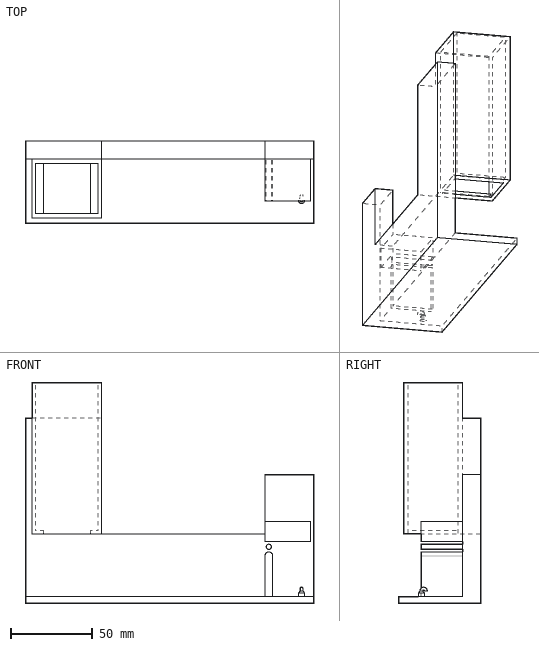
import cadquery as cq

LENGTH = 177.8
DEPTH = 50.9
HEIGHT = 136.0

PLATE_THICKNESS = 4.1
WALL_THICKNESS = 11.4
WALL_FRONT = DEPTH - WALL_THICKNESS
WALL_LOW_TOP = 42.8
WALL_LEFT_TOP = 114.1
WALL_RIGHT_TOP = 79.3

TOWER_LEFT = 4.1
TOWER_RIGHT = 47.0
TOWER_FRONT = 3.2
TOWER_BOTTOM = WALL_LOW_TOP
TOWER_SIDE_WALL = 2.1
TOWER_END_WALL = 2.7
TOWER_FLOOR = 2.1
TOWER_LEDGE = 4.8

STATION_LEFT = 147.5
STATION_FRONT = 13.9
BLOCK_WIDTH = 28.1
BLOCK_HEIGHT = 12.5
BLOCK_BOTTOM = 38.0
LEG_WIDTH = 4.8
LEG_TOP = 31.6
ROLLER_DIAMETER = 3.2
ROLLER_X = STATION_LEFT + LEG_WIDTH / 2
ROLLER_Z = (BLOCK_BOTTOM + LEG_TOP) / 2

SPOUT_X = 170.2
SPOUT_Y = 14.0
FOOT_DIAMETER = 3.7
FOOT_HEIGHT = 3.5
SHOULDER_HEIGHT = 1.5
PIPE_DIAMETER = 1.8
HOOK_RADIUS = 1.5


def box(x_min, x_max, y_min, y_max, z_min, z_max):
    """Axis-aligned block between the given limits."""
    size = (x_max - x_min, y_max - y_min, z_max - z_min)
    return cq.Workplane("XY").box(*size, centered=False).translate((x_min, y_min, z_min))


def make_plate():
    return box(0, LENGTH, 0, DEPTH, 0, PLATE_THICKNESS)


def make_wall():
    """Back wall: tall at the left, low in the middle, medium at the right."""
    profile = [
        (0, 0),
        (LENGTH, 0),
        (LENGTH, WALL_RIGHT_TOP),
        (STATION_LEFT, WALL_RIGHT_TOP),
        (STATION_LEFT, WALL_LOW_TOP),
        (TOWER_RIGHT, WALL_LOW_TOP),
        (TOWER_RIGHT, WALL_LEFT_TOP),
        (0, WALL_LEFT_TOP),
    ]
    back = cq.Workplane("XZ", origin=(0, DEPTH, 0))
    return back.polyline(profile).close().extrude(WALL_THICKNESS)


def make_tower():
    """Square tube whose floor is cut by a slot that leaves a ledge on each side."""
    inner_left = TOWER_LEFT + TOWER_SIDE_WALL
    inner_right = TOWER_RIGHT - TOWER_SIDE_WALL
    inner_front = TOWER_FRONT + TOWER_END_WALL
    inner_back = WALL_FRONT - TOWER_END_WALL
    floor_top = TOWER_BOTTOM + TOWER_FLOOR

    outside = box(TOWER_LEFT, TOWER_RIGHT, TOWER_FRONT, WALL_FRONT, TOWER_BOTTOM, HEIGHT)
    cavity = box(inner_left, inner_right, inner_front, inner_back, floor_top, HEIGHT)
    slot = box(
        inner_left + TOWER_LEDGE, inner_right - TOWER_LEDGE,
        inner_front, inner_back,
        TOWER_BOTTOM, floor_top,
    )
    return outside.cut(cavity).cut(slot)


def make_block():
    return box(
        STATION_LEFT, STATION_LEFT + BLOCK_WIDTH,
        STATION_FRONT, WALL_FRONT,
        BLOCK_BOTTOM, BLOCK_BOTTOM + BLOCK_HEIGHT,
    )


def make_roller():
    center = cq.Workplane("XZ", origin=(ROLLER_X, WALL_FRONT, ROLLER_Z))
    return center.circle(ROLLER_DIAMETER / 2).extrude(WALL_FRONT - STATION_FRONT)


def make_leg():
    """Upright rib with a half-round top."""
    leg_right = STATION_LEFT + LEG_WIDTH
    shoulder = LEG_TOP - LEG_WIDTH / 2
    return (
        cq.Workplane("XZ", origin=(0, WALL_FRONT, 0))
        .moveTo(STATION_LEFT, PLATE_THICKNESS)
        .lineTo(leg_right, PLATE_THICKNESS)
        .lineTo(leg_right, shoulder)
        .threePointArc((ROLLER_X, LEG_TOP), (STATION_LEFT, shoulder))
        .close()
        .extrude(WALL_FRONT - STATION_FRONT)
    )


def make_frame():
    frame = make_plate()
    for feature in (make_wall(), make_tower(), make_block(), make_roller(), make_leg()):
        frame = frame.union(feature)
    return frame


def make_spout():
    """Round foot with a conical shoulder, carrying a pipe that hooks over toward the wall."""
    foot_top = PLATE_THICKNESS + FOOT_HEIGHT
    foot = (
        cq.Workplane("XY", origin=(SPOUT_X, SPOUT_Y, PLATE_THICKNESS))
        .circle(FOOT_DIAMETER / 2)
        .extrude(FOOT_HEIGHT)
        .faces(">Z")
        .chamfer(SHOULDER_HEIGHT, (FOOT_DIAMETER - PIPE_DIAMETER) / 2)
    )
    path = (
        cq.Workplane("YZ", origin=(SPOUT_X, SPOUT_Y, foot_top))
        .threePointArc((HOOK_RADIUS, HOOK_RADIUS), (2 * HOOK_RADIUS, 0))
    )
    pipe = (
        cq.Workplane("XY", origin=(SPOUT_X, SPOUT_Y, foot_top))
        .circle(PIPE_DIAMETER / 2)
        .sweep(path)
    )
    return foot.union(pipe)


frame = make_frame()
spout = make_spout()

result = cq.Compound.makeCompound([frame.val(), spout.val()])